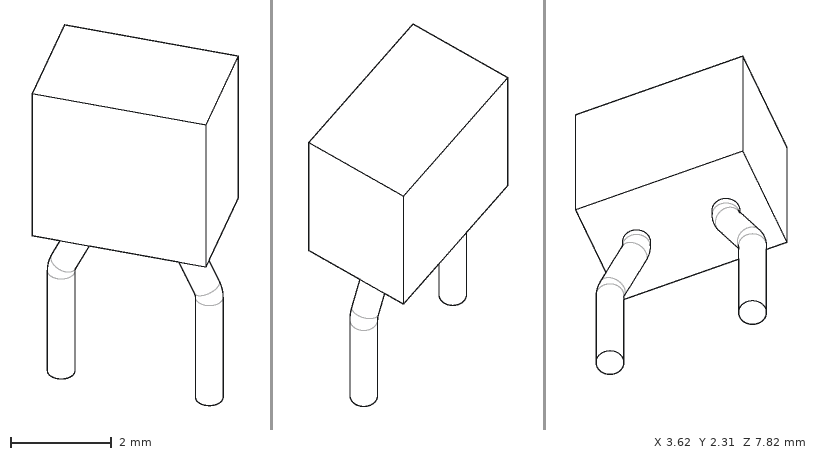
import cadquery as cq
import math

total_height = 7.82
body_width = 3.6
body_depth = 2.31
body_height = 3.6

lead_span = 3.62
lead_diameter = 0.555
lead_radius = lead_diameter / 2
top_offset = 0.96
bottom_offset = lead_span / 2 - lead_radius
bend_radius = 0.58
top_straight = 0.17
bottom_straight = 2.53

body_bottom = total_height - body_height
side_shift = bottom_offset - top_offset
upper_bend_start = body_bottom - top_straight
drop = upper_bend_start - bottom_straight

chord_squared = drop**2 + side_shift**2 - 4 * bend_radius * side_shift
slope_length = math.sqrt(chord_squared)
bend_angle = 2 * math.atan2(drop - slope_length, 4 * bend_radius - side_shift)


def make_body():
    return (
        cq.Workplane("XY")
        .workplane(offset=body_bottom)
        .rect(body_width, body_depth)
        .extrude(body_height)
    )


def bend_point(angle):
    """Sideways and downward travel along a bend after turning by angle."""
    return bend_radius * (1 - math.cos(angle)), bend_radius * math.sin(angle)


def make_lead(side):
    """Lead on the -X side (side = -1) or the +X side (side = 1)."""
    mid_shift, mid_drop = bend_point(bend_angle / 2)
    end_shift, end_drop = bend_point(bend_angle)
    path = (
        cq.Workplane("XZ")
        .moveTo(side * top_offset, body_bottom)
        .lineTo(side * top_offset, upper_bend_start)
        .threePointArc(
            (side * (top_offset + mid_shift), upper_bend_start - mid_drop),
            (side * (top_offset + end_shift), upper_bend_start - end_drop),
        )
        .lineTo(side * (bottom_offset - end_shift), bottom_straight + end_drop)
        .threePointArc(
            (side * (bottom_offset - mid_shift), bottom_straight + mid_drop),
            (side * bottom_offset, bottom_straight),
        )
        .lineTo(side * bottom_offset, 0)
    )
    return (
        cq.Workplane("XY")
        .workplane(offset=body_bottom)
        .center(side * top_offset, 0)
        .circle(lead_radius)
        .sweep(path)
    )


body = make_body()
leads = [make_lead(side) for side in (-1, 1)]

result = cq.Compound.makeCompound([body.val(), *[lead.val() for lead in leads]])